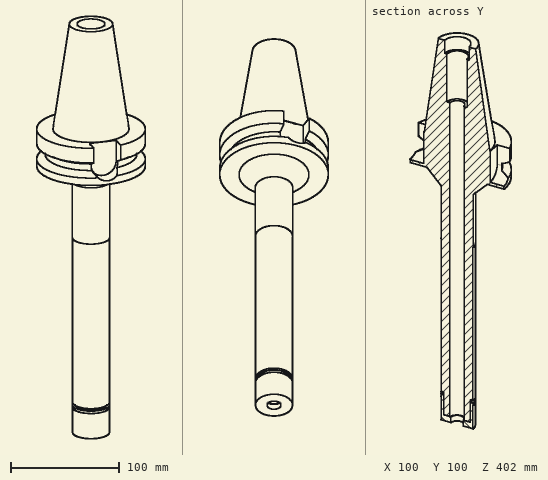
import cadquery as cq

TOTAL_HEIGHT = 402.0
GAUGE_HEIGHT = 299.5
FLANGE_TOP = 298.5
FLANGE_BOTTOM = 262.0
SHANK_STEP_HEIGHT = 191.5
SHANK_BOTTOM = 29.7
NUT_TOP = 27.5

TAPER_RATIO = 7 / 24
GAUGE_RADIUS = 35.0
TAPER_TOP_RADIUS = GAUGE_RADIUS - (TOTAL_HEIGHT - GAUGE_HEIGHT) * TAPER_RATIO / 2

FLANGE_RADIUS = 100.0 / 2
GROOVE_FLOOR_RADIUS = 42.0
GROOVE_TOP = 284.0
GROOVE_BOTTOM = 269.2
GROOVE_FLOOR_TOP = 280.0
GROOVE_FLOOR_BOTTOM = 273.5

SLOT_WIDTH = 25.7
SLOT_BOTTOM = 265.5
SLOT_FLOOR_X = 35.5

UPPER_SHANK_RADIUS = 34.5 / 2
LOWER_SHANK_RADIUS = 34.0 / 2
COLLAR_RADIUS = 32.0
COLLAR_BOTTOM = FLANGE_BOTTOM - (COLLAR_RADIUS - UPPER_SHANK_RADIUS)

NECK_RADIUS = 14.5
NECK_BOTTOM = 6.0

ENTRY_RADIUS = 13.0
ENTRY_DEPTH = 13.5
THREAD_RADIUS = 10.5
THREAD_DEPTH = 64.3
THROUGH_RADIUS = 7.2

NUT_RADIUS = LOWER_SHANK_RADIUS
NUT_RIM_HEIGHT = 2.5
NUT_RIM_RADIUS = UPPER_SHANK_RADIUS
NUT_HOLE_RADIUS = 6.5


def revolve_profile(points):
    """Turn an outline of (radius, height) points about the Z axis."""
    return cq.Workplane("XZ").polyline(points).close().revolve(360, (0, 0, 0), (0, 1, 0))


def bore(radius, bottom, top):
    return cq.Workplane("XY").workplane(offset=bottom).circle(radius).extrude(top - bottom)


def drive_slot(side):
    """Round-bottomed cutter on the +X (side = 1) or -X (side = -1) side of the flange."""
    depth = FLANGE_RADIUS - SLOT_FLOOR_X
    arc_height = SLOT_BOTTOM + SLOT_WIDTH / 2
    start_x = SLOT_FLOOR_X if side > 0 else -FLANGE_RADIUS
    return (
        cq.Workplane("YZ", origin=(start_x, 0, 0))
        .moveTo(-SLOT_WIDTH / 2, FLANGE_TOP)
        .lineTo(-SLOT_WIDTH / 2, arc_height)
        .threePointArc((0, SLOT_BOTTOM), (SLOT_WIDTH / 2, arc_height))
        .lineTo(SLOT_WIDTH / 2, FLANGE_TOP)
        .close()
        .extrude(depth)
    )


def make_holder():
    holder = revolve_profile([
        (0, TOTAL_HEIGHT),
        (TAPER_TOP_RADIUS, TOTAL_HEIGHT),
        (GAUGE_RADIUS, GAUGE_HEIGHT),
        (GAUGE_RADIUS, FLANGE_TOP),
        (FLANGE_RADIUS, FLANGE_TOP),
        (FLANGE_RADIUS, GROOVE_TOP),
        (GROOVE_FLOOR_RADIUS, GROOVE_FLOOR_TOP),
        (GROOVE_FLOOR_RADIUS, GROOVE_FLOOR_BOTTOM),
        (FLANGE_RADIUS, GROOVE_BOTTOM),
        (FLANGE_RADIUS, FLANGE_BOTTOM),
        (COLLAR_RADIUS, FLANGE_BOTTOM),
        (UPPER_SHANK_RADIUS, COLLAR_BOTTOM),
        (UPPER_SHANK_RADIUS, SHANK_STEP_HEIGHT),
        (LOWER_SHANK_RADIUS, SHANK_STEP_HEIGHT),
        (LOWER_SHANK_RADIUS, SHANK_BOTTOM),
        (NECK_RADIUS, SHANK_BOTTOM),
        (NECK_RADIUS, NECK_BOTTOM),
        (0, NECK_BOTTOM),
    ])
    for side in (-1, 1):
        holder = holder.cut(drive_slot(side))
    holder = holder.cut(bore(ENTRY_RADIUS, TOTAL_HEIGHT - ENTRY_DEPTH, TOTAL_HEIGHT))
    holder = holder.cut(bore(THREAD_RADIUS, TOTAL_HEIGHT - THREAD_DEPTH, TOTAL_HEIGHT))
    return holder.cut(bore(THROUGH_RADIUS, NECK_BOTTOM, TOTAL_HEIGHT))


def make_nut():
    """Clamping nut with a thin upper rim, a recess for the neck and a through hole."""
    return revolve_profile([
        (NUT_HOLE_RADIUS, 0),
        (NUT_RADIUS, 0),
        (NUT_RADIUS, NUT_TOP - NUT_RIM_HEIGHT),
        (NUT_RIM_RADIUS, NUT_TOP - NUT_RIM_HEIGHT),
        (NUT_RIM_RADIUS, NUT_TOP),
        (NECK_RADIUS, NUT_TOP),
        (NECK_RADIUS, NECK_BOTTOM),
        (NUT_HOLE_RADIUS, NECK_BOTTOM),
    ])


holder = make_holder()
nut = make_nut()

result = cq.Compound.makeCompound([holder.val(), nut.val()])